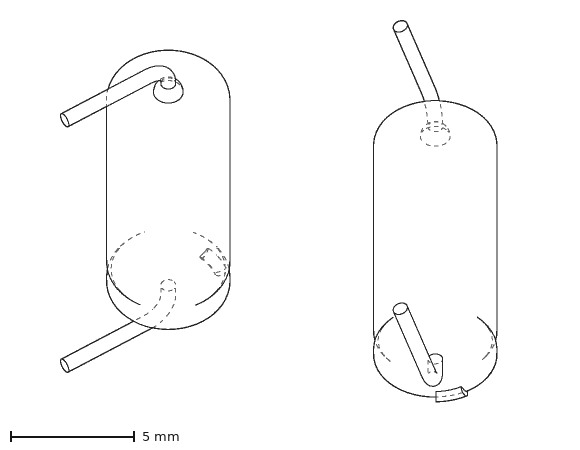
import cadquery as cq

can_diameter = 5.0
can_height = 12.0
total_height = 15.84
top_rounding = 0.5
base_rounding = 0.25

groove_depth = 0.19
groove_middle = 1.0
groove_step = 0.25

lead_diameter = 0.6
lead_bend_radius = 1.0
lead_reach = 5.1
dome_diameter = 1.2

bead_radius = 0.25
bead_angle = 31.0

can_radius = can_diameter / 2
lead_overhang = (total_height - can_height) / 2
lead_axis_height = lead_overhang - lead_diameter / 2
lead_straight = lead_axis_height - lead_bend_radius


def make_can():
    bend_radius = can_radius - groove_depth / 2
    groove_bottom = groove_middle - 2 * groove_step
    groove_top = groove_middle + 2 * groove_step
    profile = (
        cq.Workplane("XZ")
        .lineTo(can_radius - base_rounding, 0)
        .tangentArcPoint((can_radius, base_rounding), relative=False)
        .lineTo(can_radius, groove_bottom)
        .tangentArcPoint((bend_radius, groove_middle - groove_step), relative=False)
        .tangentArcPoint((bend_radius, groove_middle + groove_step), relative=False)
        .tangentArcPoint((can_radius, groove_top), relative=False)
        .lineTo(can_radius, can_height - top_rounding)
        .tangentArcPoint((can_radius - top_rounding, can_height), relative=False)
        .lineTo(0, can_height)
        .close()
    )
    return profile.revolve(360, (0, 0, 0), (0, 1, 0))


def make_lead(start_height, direction):
    """Lead along Z (direction +1 up, -1 down), bent towards -Y."""
    bend_start = start_height + direction * lead_straight
    lead_height = start_height + direction * lead_axis_height
    path = (
        cq.Workplane("YZ")
        .moveTo(0, start_height)
        .lineTo(0, bend_start)
        .tangentArcPoint((-lead_bend_radius, lead_height), relative=False)
        .lineTo(-lead_reach, lead_height)
    )
    section = cq.Workplane("XY").workplane(offset=start_height).circle(lead_diameter / 2)
    return section.sweep(path)


def make_bead():
    bead = (
        cq.Workplane("XZ")
        .center(can_radius - bead_radius, 0)
        .circle(bead_radius)
        .revolve(bead_angle, (bead_radius - can_radius, 0, 0), (bead_radius - can_radius, 1, 0))
    )
    return bead.rotate((0, 0, 0), (0, 0, 1), 90 - bead_angle / 2)


dome = cq.Workplane("XY").sphere(dome_diameter / 2).translate((0, 0, can_height))

result = (
    make_can()
    .union(dome)
    .union(make_lead(can_height, 1))
    .union(make_lead(0, -1))
    .union(make_bead())
)